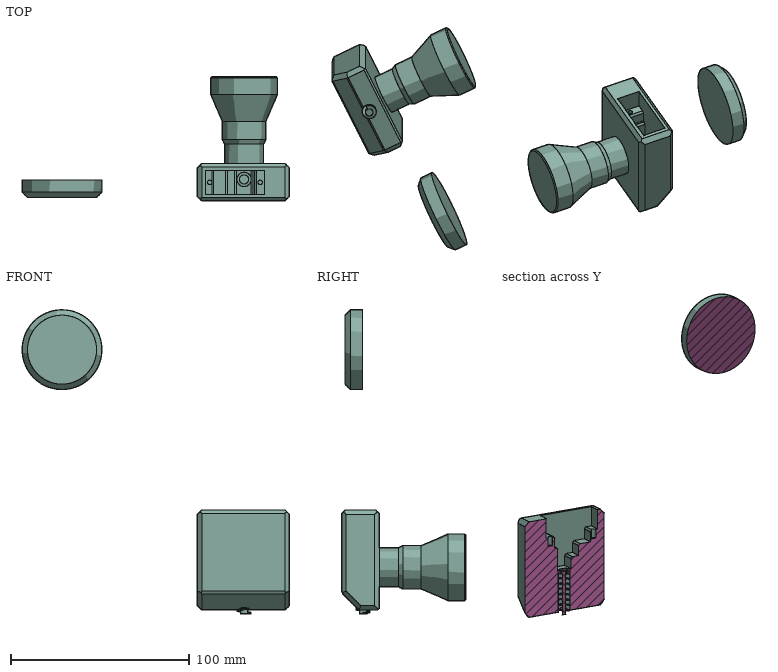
import cadquery as cq

total_width = 150.2
total_depth = 69.9
total_height = 170.9
block_width = 51.8
block_depth = 21.2
block_height = 56.4
auger_protrusion = 2.0
slope_size = 9.7
side_chamfer = 2.5
top_chamfer = 2.0
soft_chamfer = 1.0
slope_foot_chamfer = 0.5

block_left = total_width - block_width
block_middle_x = block_left + block_width / 2
block_bottom = auger_protrusion
block_top = block_bottom + block_height

tube_x = 124.7
tube_z = 26.1
neck_radius = 22.0 / 2
collar_radius = 24.6 / 2
mouth_radius = 37.6 / 2
neck_end = 32.0
collar_start = 34.5
collar_end = 44.8
mouth_start = 59.8
mouth_chamfer = 0.7

pocket_left = 103.0
pocket_length = 33.2
pocket_front = 3.8
pocket_width = 13.3
shelf_depth = 11.3
bay_step = 6.8
bay_chamfer = 1.0
motor_bay = (107.7, 130.7)
gear_bay = (115.4, 128.7)
coupling_bay_left = 120.5
pocket_middle_y = pocket_front + pocket_width / 2
shelf_z = block_top - shelf_depth
floor_z = shelf_z - 3 * bay_step

screw_diameter = 2.5
screw_spacing = 28.4
screw_depth = 5.1

auger_x = tube_x
auger_y = 12.1
bore_diameter = 8.0
core_diameter = 4.3
flight_diameter = 7.9
flight_pitch = 3.0
flight_thickness = 0.7
flight_overlap = 0.3
head_thickness = 1.7
socket_diameter = 5.1
socket_depth = 0.9

lid_diameter = 45.0
lid_front = 1.9
lid_thickness = 9.9
lid_chamfer = 3.0


def sharp_block():
    """Five-sided outline of the block, extruded over its full width."""
    return (
        cq.Workplane("YZ", origin=(block_left, 0, 0))
        .moveTo(block_depth, block_bottom)
        .lineTo(block_depth, block_top)
        .lineTo(0, block_top)
        .lineTo(0, block_bottom + slope_size)
        .lineTo(slope_size, block_bottom)
        .close()
        .extrude(block_width)
    )


def make_block():
    """Block whose end bevels mitre into the bevels of its long edges."""
    bevelled_ends = sharp_block().faces("<X or >X").edges().chamfer(side_chamfer)
    slope_top = cq.selectors.NearestToPointSelector((block_middle_x, 0, block_bottom + slope_size))
    bevelled_edges = (
        sharp_block()
        .edges(slope_top)
        .chamfer(soft_chamfer)
        .faces(">Z")
        .edges("|X")
        .chamfer(top_chamfer)
        .faces("<Z")
        .edges(">Y")
        .chamfer(soft_chamfer)
        .faces("<Z")
        .edges("<Y")
        .chamfer(slope_foot_chamfer)
    )
    return bevelled_ends.intersect(bevelled_edges)


def make_tube():
    """Stepped round body, rooted inside the block so that the two fuse."""
    root = block_depth - top_chamfer
    return (
        cq.Workplane("XY")
        .moveTo(0, root)
        .lineTo(neck_radius, root)
        .lineTo(neck_radius, neck_end)
        .lineTo(collar_radius, collar_start)
        .lineTo(collar_radius, collar_end)
        .lineTo(mouth_radius, mouth_start)
        .lineTo(mouth_radius, total_depth - mouth_chamfer)
        .lineTo(mouth_radius - mouth_chamfer, total_depth)
        .lineTo(0, total_depth)
        .close()
        .revolve(360, (0, 0, 0), (0, 1, 0))
        .translate((tube_x, 0, tube_z))
    )


def make_pocket():
    """Pocket outline in XZ: two shelves, then three bays with chamfered lips."""
    motor_left, motor_right = motor_bay
    gear_left, gear_right = gear_bay
    motor_z = shelf_z - bay_step
    gear_z = motor_z - bay_step
    outline = [
        (pocket_left, block_top),
        (pocket_left, shelf_z),
        (motor_left - bay_chamfer, shelf_z),
        (motor_left, shelf_z - bay_chamfer),
        (motor_left, motor_z),
        (gear_left - bay_chamfer, motor_z),
        (gear_left, motor_z - bay_chamfer),
        (gear_left, gear_z),
        (coupling_bay_left - bay_chamfer, gear_z),
        (coupling_bay_left, gear_z - bay_chamfer),
        (coupling_bay_left, floor_z),
        (gear_right, floor_z),
        (gear_right, motor_z - bay_chamfer),
        (gear_right + bay_chamfer, motor_z),
        (motor_right, motor_z),
        (motor_right, shelf_z - bay_chamfer),
        (motor_right + bay_chamfer, shelf_z),
        (pocket_left + pocket_length, shelf_z),
        (pocket_left + pocket_length, block_top),
    ]
    return (
        cq.Workplane("XZ", origin=(0, pocket_front, 0))
        .polyline(outline)
        .close()
        .extrude(-pocket_width)
    )


def make_screw_holes():
    middle_x = pocket_left + pocket_length / 2
    return (
        cq.Workplane("XY", origin=(middle_x, pocket_middle_y, shelf_z))
        .pushPoints([(-screw_spacing / 2, 0), (screw_spacing / 2, 0)])
        .circle(screw_diameter / 2)
        .extrude(-screw_depth)
    )


def make_bore():
    return (
        cq.Workplane("XY", origin=(auger_x, auger_y, 0))
        .circle(bore_diameter / 2)
        .extrude(floor_z)
    )


def make_housing():
    solid = make_block().union(make_tube())
    return solid.cut(make_pocket()).cut(make_screw_holes()).cut(make_bore())


def make_flight():
    """Square-edged helical rib from the tip up to the head."""
    root_radius = core_diameter / 2 - flight_overlap
    height = floor_z - head_thickness - flight_thickness / 2
    path = cq.Wire.makeHelix(flight_pitch, height, root_radius)
    return (
        cq.Workplane("XZ")
        .moveTo(root_radius, 0)
        .lineTo(flight_diameter / 2, 0)
        .lineTo(flight_diameter / 2, flight_thickness)
        .lineTo(root_radius, flight_thickness)
        .close()
        .sweep(cq.Workplane(obj=path), isFrenet=True)
    )


def make_auger():
    core = cq.Workplane("XY").circle(core_diameter / 2).extrude(floor_z)
    head = (
        cq.Workplane("XY", origin=(0, 0, floor_z - head_thickness))
        .circle(bore_diameter / 2)
        .extrude(head_thickness)
    )
    socket = (
        cq.Workplane("XY", origin=(0, 0, floor_z - socket_depth))
        .circle(socket_diameter / 2)
        .extrude(socket_depth)
    )
    solid = core.union(make_flight()).union(head).cut(socket)
    return solid.translate((auger_x, auger_y, 0))


def make_lid():
    radius = lid_diameter / 2
    return (
        cq.Workplane("XZ", origin=(radius, lid_front, total_height - radius))
        .circle(radius)
        .extrude(-lid_thickness)
        .faces("<Y")
        .chamfer(lid_chamfer)
    )


housing = make_housing()
auger = make_auger()
lid = make_lid()
result = cq.Compound.makeCompound([body.solids().val() for body in (housing, auger, lid)])